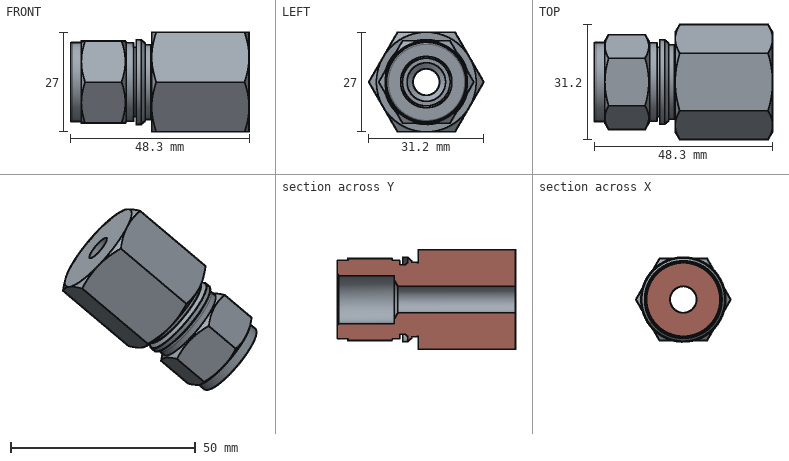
import cadquery as cq
import math

LENGTH = 48.3
HEX_CHAMFER_SLOPE = math.tan(math.radians(30))

COLLAR_DIAMETER = 21.5
COLLAR_FACE_DIAMETER = 20.6
NUT_START = 2.95
NUT_END = 15.05
NUT_FLATS = 22.25
NUT_BACK_DIAMETER = 21.35
NUT_BACK_END = 17.1
NUT_BACK_ROUND = 0.3

NECK_DIAMETER = 18.9
RING_START = 17.75
RING_DIAMETER = 23.0
RING_RECESS_DIAMETER = 22.5
RING_RECESS_END = 19.1
NECK_CONE_START = 18.45
NECK_CONE_DIAMETER = 20.15
RING_TAPER_START = 19.1
RING_TAPER_END = 20.25
RING_TAPER_DIAMETER = 21.0
SHOULDER_DIAMETER = 20.3
SHOULDER_END = 21.7
SHOULDER_GROOVE_DIAMETER = 20.0

BODY_START = 22.0
BODY_FLATS = 27.0

TUBE_DIAMETER = 12.9
TUBE_MOUTH_DIAMETER = 13.9
TUBE_DEPTH = 15.45
CONE_DIAMETER = 10.45
BORE_DIAMETER = 7.1
CONE_HALF_ANGLE = 59


def revolve_profile(points):
    """Turn a closed (x, radius) outline about the X axis."""
    return cq.Workplane("XY").polyline(points).close().revolve(360, (0, 0, 0), (1, 0, 0))


def chamfered_hex(start, end, flats, start_diameter, end_diameter):
    """Hexagon with corners on the Y axis, its ends turned to 30 degree cones."""
    corner_radius = flats / math.sqrt(3)
    prism = (
        cq.Workplane("YZ")
        .workplane(offset=start)
        .polygon(6, 2 * corner_radius)
        .extrude(end - start)
    )
    start_run = (corner_radius - start_diameter / 2) * HEX_CHAMFER_SLOPE
    end_run = (corner_radius - end_diameter / 2) * HEX_CHAMFER_SLOPE
    envelope = revolve_profile([
        (start, 0),
        (start, start_diameter / 2),
        (start + start_run, corner_radius),
        (end - end_run, corner_radius),
        (end, end_diameter / 2),
        (end, 0),
    ])
    return prism.intersect(envelope)


def turned_core():
    """Collar, nut back, neck, hollow tapered ring and shoulder, with rounded nut rims."""
    collar_round = (COLLAR_DIAMETER - COLLAR_FACE_DIAMETER) / 2
    outline = [
        (0, 0),
        (0, COLLAR_DIAMETER / 2),
        (NUT_START, COLLAR_DIAMETER / 2),
        (NUT_START, NUT_BACK_DIAMETER / 2),
        (NUT_BACK_END, NUT_BACK_DIAMETER / 2),
        (NUT_BACK_END, NECK_DIAMETER / 2),
        (NECK_CONE_START, NECK_DIAMETER / 2),
        (RING_RECESS_END, NECK_CONE_DIAMETER / 2),
        (RING_RECESS_END, RING_RECESS_DIAMETER / 2),
        (RING_START, RING_RECESS_DIAMETER / 2),
        (RING_START, RING_DIAMETER / 2),
        (RING_TAPER_START, RING_DIAMETER / 2),
        (RING_TAPER_END, RING_TAPER_DIAMETER / 2),
        (RING_TAPER_END, SHOULDER_DIAMETER / 2),
        (SHOULDER_END, SHOULDER_DIAMETER / 2),
        (SHOULDER_END, SHOULDER_GROOVE_DIAMETER / 2),
        (BODY_START, SHOULDER_GROOVE_DIAMETER / 2),
        (BODY_START, 0),
    ]
    core = revolve_profile(outline).faces("<X").edges().fillet(collar_round)
    nut_back_rim = cq.selectors.BoxSelector(
        (NUT_BACK_END - NUT_BACK_ROUND, -RING_DIAMETER, -RING_DIAMETER),
        (NUT_BACK_END + NUT_BACK_ROUND, RING_DIAMETER, RING_DIAMETER),
    )
    largest_circle = cq.selectors.RadiusNthSelector(-1)
    return core.edges(nut_back_rim).edges(largest_circle).fillet(NUT_BACK_ROUND)


def stepped_bore():
    """Tube socket with a chamfered mouth, a drill point cone and a through bore."""
    mouth_chamfer = (TUBE_MOUTH_DIAMETER - TUBE_DIAMETER) / 2
    cone_length = (CONE_DIAMETER - BORE_DIAMETER) / 2 / math.tan(math.radians(CONE_HALF_ANGLE))
    return revolve_profile([
        (0, 0),
        (0, TUBE_MOUTH_DIAMETER / 2),
        (mouth_chamfer, TUBE_DIAMETER / 2),
        (TUBE_DEPTH, TUBE_DIAMETER / 2),
        (TUBE_DEPTH, CONE_DIAMETER / 2),
        (TUBE_DEPTH + cone_length, BORE_DIAMETER / 2),
        (LENGTH, BORE_DIAMETER / 2),
        (LENGTH, 0),
    ])


nut = chamfered_hex(NUT_START, NUT_END, NUT_FLATS, NUT_FLATS, NUT_BACK_DIAMETER)
body = chamfered_hex(BODY_START, LENGTH, BODY_FLATS, BODY_FLATS, BODY_FLATS)

result = turned_core().union(nut).union(body).cut(stepped_bore())